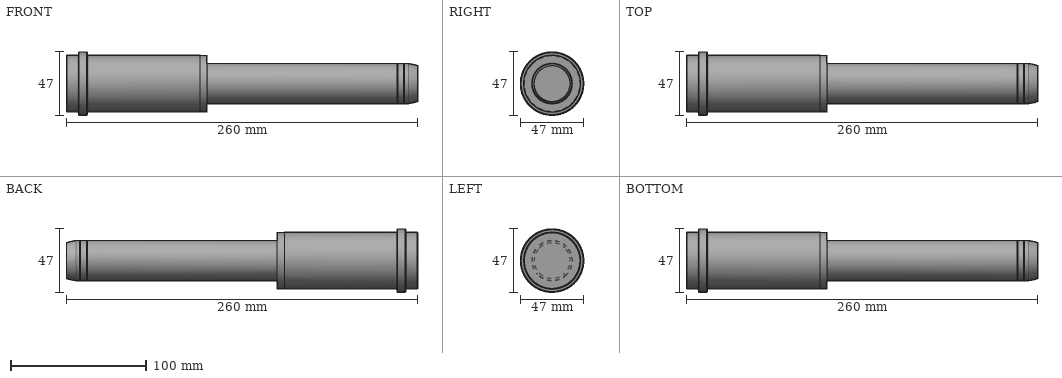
import cadquery as cq

length = 260.0

sleeve_diameter = 42.0
sleeve_length = 104.0
end_chamfer = 0.5
pilot_length = 5.2
pilot_diameter = 41.9

collar_diameter = 47.0
collar_start = 8.8
collar_width = 6.8
collar_chamfer = 0.65
collar_root_fillet = 0.3

pin_diameter = 30.0
pin_root_fillet = 0.3
groove_starts = (244.5, 249.3)
groove_width = 0.8
groove_depth = 0.3
nose_length = 7.0
nose_tip_diameter = 26.5
nose_bulge = 0.3

sleeve_radius = sleeve_diameter / 2
collar_radius = collar_diameter / 2
pin_radius = pin_diameter / 2


def cylinder(start, width, diameter):
    """Solid cylinder along X, beginning at X = start."""
    return cq.Workplane("YZ", origin=(start, 0, 0)).circle(diameter / 2).extrude(width)


def spin(profile):
    """Revolve a closed XY profile about the X axis."""
    return profile.revolve(360, (0, 0, 0), (1, 0, 0))


def make_sleeve():
    body_length = sleeve_length - pilot_length
    body = cylinder(0, body_length, sleeve_diameter)
    body = body.faces("<X").chamfer(end_chamfer)
    return body.union(cylinder(body_length, pilot_length, pilot_diameter))


def make_collar():
    collar_end = collar_start + collar_width
    shoulder_radius = collar_radius - collar_chamfer
    foot_radius = sleeve_radius + collar_root_fillet
    return spin(
        cq.Workplane("XY")
        .moveTo(collar_start - collar_root_fillet, 0)
        .lineTo(collar_start - collar_root_fillet, sleeve_radius)
        .radiusArc((collar_start, foot_radius), -collar_root_fillet)
        .lineTo(collar_start, shoulder_radius)
        .lineTo(collar_start + collar_chamfer, collar_radius)
        .lineTo(collar_end - collar_chamfer, collar_radius)
        .lineTo(collar_end, shoulder_radius)
        .lineTo(collar_end, foot_radius)
        .radiusArc((collar_end + collar_root_fillet, sleeve_radius), -collar_root_fillet)
        .lineTo(collar_end + collar_root_fillet, 0)
        .close()
    )


def make_pin():
    nose_start = length - nose_length
    tip_radius = nose_tip_diameter / 2
    nose_middle = (length - nose_length / 2, (pin_radius + tip_radius) / 2 + nose_bulge)
    pin = spin(
        cq.Workplane("XY")
        .moveTo(0, 0)
        .lineTo(0, pin_radius)
        .lineTo(sleeve_length, pin_radius)
        .lineTo(sleeve_length, pin_radius + pin_root_fillet)
        .radiusArc((sleeve_length + pin_root_fillet, pin_radius), -pin_root_fillet)
        .lineTo(nose_start, pin_radius)
        .threePointArc(nose_middle, (length, tip_radius))
        .lineTo(length, 0)
        .close()
    )
    for start in groove_starts:
        band = cylinder(start, groove_width, pin_diameter)
        core = cylinder(start, groove_width, pin_diameter - 2 * groove_depth)
        pin = pin.cut(band.cut(core))
    return pin


result = make_sleeve().union(make_collar()).union(make_pin())